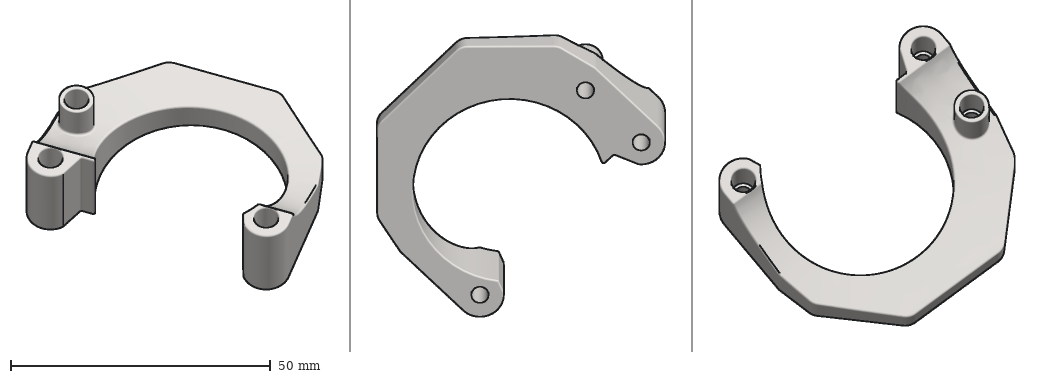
import cadquery as cq
import math

width = 53.25
height = 17.0
edge_radius = 0.35
tip_radius = 0.4
corner_radius = 3.2

post_radius = 4.65
post_x = width / 2 - post_radius
flank_end_x = 18.35
flank_slope = 2.5
flank_foot_y = -math.sqrt(post_radius**2 - (post_x - flank_end_x) ** 2)

back_y = 38.5
back_half_width = 11.45
shoulder_x = 24.75
shoulder_y = back_y - (shoulder_x - back_half_width)
side_end_y = 17.05

bore_x = 2.8
bore_y = 11.0
bore_radius = 18.6

ledge_y = 1.9
ledge_corner_radius = 0.55
ledge_corner = (-flank_end_x + (ledge_y - flank_foot_y) / flank_slope, ledge_y)
left_tip = (bore_x - math.sqrt(bore_radius**2 - (ledge_y - bore_y) ** 2), ledge_y)

slope_start = (2.65, height)
slope_steep_control = (7.6, 6.4)
slope_shallow_control = (37.65, 5.3)
slope_end_z = 4.95

tube_y = 15.1
tube_diameter = 6.7
tube_foot_radius = 0.4
tube_foot_min_z = 5.3
tube_rim_radius = 0.2

hole_diameter = 3.3
socket_diameter = 4.7
socket_depth = 8.0

margin = 0.15


def right_tip():
    """Point where the right flank, climbing from the post arc, runs into the bore wall."""
    flank_length = math.hypot(1, flank_slope)
    step_x = -1 / flank_length
    step_y = flank_slope / flank_length
    from_bore_x = flank_end_x - bore_x
    from_bore_y = flank_foot_y - bore_y
    along = from_bore_x * step_x + from_bore_y * step_y
    outside = from_bore_x**2 + from_bore_y**2 - bore_radius**2
    travel = -along - math.sqrt(along**2 - outside)
    return (flank_end_x + travel * step_x, flank_foot_y + travel * step_y)


def outline():
    """Plan outline of the body with square corners."""
    return (
        cq.Workplane("XY")
        .moveTo(-width / 2, 0)
        .lineTo(-width / 2, side_end_y)
        .lineTo(-shoulder_x, shoulder_y)
        .lineTo(-back_half_width, back_y)
        .lineTo(back_half_width, back_y)
        .lineTo(shoulder_x, shoulder_y)
        .lineTo(width / 2, side_end_y)
        .lineTo(width / 2, 0)
        .threePointArc((post_x, -post_radius), (flank_end_x, flank_foot_y))
        .lineTo(*right_tip())
        .threePointArc((bore_x, bore_y + bore_radius), left_tip)
        .lineTo(*ledge_corner)
        .lineTo(-flank_end_x, flank_foot_y)
        .threePointArc((-post_x, -post_radius), (-width / 2, 0))
        .close()
    )


def near_vertical_edge(x, y):
    """Selector for the vertical edge at (x, y)."""
    return cq.selectors.BoxSelector(
        (x - margin, y - margin, -margin), (x + margin, y + margin, height + margin)
    )


def slope_cutter():
    """Everything above the curved slope that drops from the posts to the back."""
    slope_end = (back_y, slope_end_z)
    front_y = slope_start[0]
    clear_y = back_y + margin
    clear_z = height + margin
    return (
        cq.Workplane("YZ", origin=(-width, 0, 0))
        .moveTo(*slope_start)
        .bezier([slope_start, slope_steep_control, slope_shallow_control, slope_end])
        .lineTo(clear_y, slope_end_z)
        .lineTo(clear_y, clear_z)
        .lineTo(front_y, clear_z)
        .close()
        .extrude(2 * width)
    )


def rounded_body():
    """Horseshoe body with rounded corners, sloping top and rounded rims."""
    body = outline().extrude(height)
    rear_corners = [(back_half_width, back_y), (shoulder_x, shoulder_y), (width / 2, side_end_y)]
    for x, y in rear_corners:
        for side in (-1, 1):
            body = body.edges(near_vertical_edge(side * x, y)).fillet(corner_radius)
    body = body.edges(near_vertical_edge(*ledge_corner)).fillet(ledge_corner_radius)
    for tip in (left_tip, right_tip()):
        body = body.edges(near_vertical_edge(*tip)).fillet(tip_radius)
    return body.cut(slope_cutter()).edges("not |Z").fillet(edge_radius)


def tube_edges(low_z, high_z):
    """Selector for edges lying on the tube between two heights."""
    reach = tube_diameter / 2 + margin
    return cq.selectors.BoxSelector(
        (-post_x - reach, tube_y - reach, low_z),
        (-post_x + reach, tube_y + reach, high_z),
        boundingbox=True,
    )


def add_tube(body):
    """Stand the tube on the left arm, blend its foot into the slope and round its rim."""
    tube = cq.Workplane("XY").center(-post_x, tube_y).circle(tube_diameter / 2).extrude(height)
    joined = body.union(tube)
    joined = joined.edges(tube_edges(tube_foot_min_z, height - margin)).fillet(tube_foot_radius)
    return joined.edges(tube_edges(height - margin, height + margin)).fillet(tube_rim_radius)


def stepped_hole(x, y, mouth_radius):
    """Through hole with a wider socket above it and a rounded mouth."""
    socket_radius = socket_diameter / 2
    through = cq.Workplane("XY").center(x, y).circle(hole_diameter / 2).extrude(height)
    socket = (
        cq.Workplane("XZ", origin=(x, y, 0))
        .moveTo(0, height - socket_depth)
        .lineTo(socket_radius, height - socket_depth)
        .lineTo(socket_radius, height - mouth_radius)
        .radiusArc((socket_radius + mouth_radius, height), mouth_radius)
        .lineTo(0, height)
        .close()
        .revolve(360, (0, 0), (0, 1))
    )
    return through.union(socket)


result = add_tube(rounded_body())
for hole_x in (-post_x, post_x):
    result = result.cut(stepped_hole(hole_x, 0, edge_radius))
result = result.cut(stepped_hole(-post_x, tube_y, tube_rim_radius))